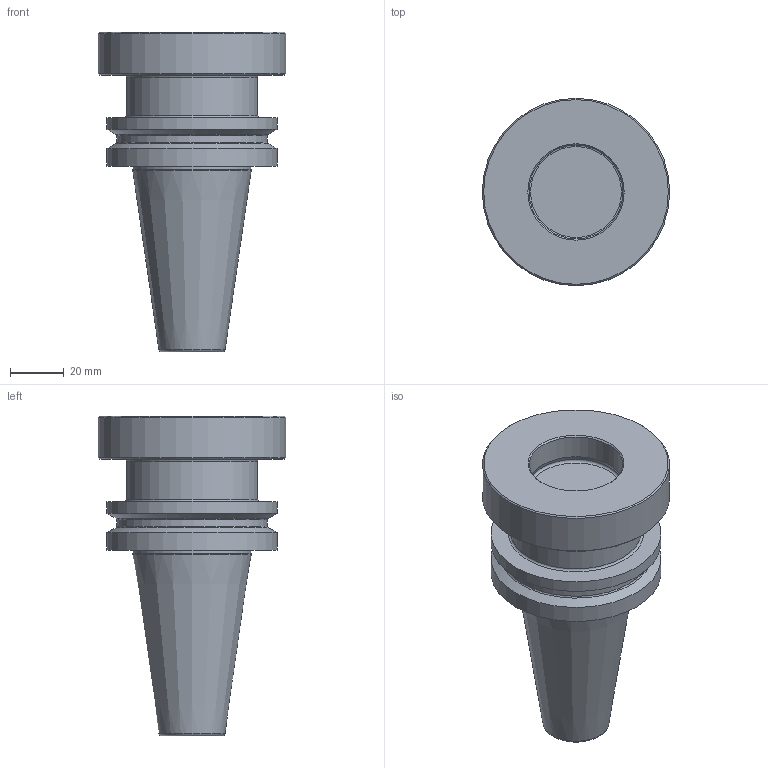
import cadquery as cq
import math


GAUGE_DIAMETER = 44.45
TAPER_PER_LENGTH = 7 / 24
SHANK_LENGTH = 68.4
SHANK_END_FILLET = 1.0

RELIEF_DIAMETER = 43.8
LAND_TOP = -0.3
LAND_HEIGHT = 0.4

FLANGE_DIAMETER = 63.55
FLANGE_BOTTOM = 1.0
FLANGE_TOP = 19.1
GROOVE_CENTER = 11.1
GROOVE_FLOOR_DIAMETER = 56.25
GROOVE_FLOOR_WIDTH = 3.1
GROOVE_CORNER_FILLET = 0.7
GROOVE_FLANK_ANGLE = 30

NECK_DIAMETER = 49.0
NECK_FILLET = 0.8
HEAD_DIAMETER = 70.0
HEAD_TOP = 51.0
HEAD_THICKNESS = 16.0
HEAD_CHAMFER = 0.5

BORE_DIAMETER = 35.0
BORE_DEPTH = 12.0
BORE_MOUTH_CHAMFER = 0.5
BORE_FLOOR_DIAMETER = 34.0
UNDERCUT_RADIUS = 0.9
UNDERCUT_ANGLE = 15

HEAD_BOTTOM = HEAD_TOP - HEAD_THICKNESS


def revolve_profile(profile):
    """Turn a closed radius-height profile a full circle around the Z axis."""
    return profile.close().revolve(360, (0, 0, 0), (0, 1, 0))


def make_shank():
    """Taper with a rounded small end, a narrow land at its large end, and the relief above."""
    land_bottom = LAND_TOP - LAND_HEIGHT
    relief_radius = RELIEF_DIAMETER / 2

    def taper_radius(z):
        """Radius of the taper at height z."""
        return (GAUGE_DIAMETER + z * TAPER_PER_LENGTH) / 2

    shank = revolve_profile(
        cq.Workplane("XZ")
        .moveTo(0, -SHANK_LENGTH)
        .lineTo(taper_radius(-SHANK_LENGTH), -SHANK_LENGTH)
        .lineTo(taper_radius(land_bottom), land_bottom)
        .lineTo(taper_radius(land_bottom), LAND_TOP)
        .lineTo(relief_radius, LAND_TOP)
        .lineTo(relief_radius, FLANGE_BOTTOM)
        .lineTo(0, FLANGE_BOTTOM)
    )
    return shank.faces("<Z").edges().fillet(SHANK_END_FILLET)


def make_flange():
    """Disc with a V groove that has a cylindrical floor and rounded floor corners."""
    flange_radius = FLANGE_DIAMETER / 2
    floor_radius = GROOVE_FLOOR_DIAMETER / 2
    floor_half_width = GROOVE_FLOOR_WIDTH / 2
    flank_height = (flange_radius - floor_radius) * math.tan(math.radians(GROOVE_FLANK_ANGLE))
    mouth_half_width = floor_half_width + flank_height
    flange = revolve_profile(
        cq.Workplane("XZ")
        .moveTo(0, FLANGE_BOTTOM)
        .lineTo(flange_radius, FLANGE_BOTTOM)
        .lineTo(flange_radius, GROOVE_CENTER - mouth_half_width)
        .lineTo(floor_radius, GROOVE_CENTER - floor_half_width)
        .lineTo(floor_radius, GROOVE_CENTER + floor_half_width)
        .lineTo(flange_radius, GROOVE_CENTER + mouth_half_width)
        .lineTo(flange_radius, FLANGE_TOP)
        .lineTo(0, FLANGE_TOP)
    )
    floor_corners = flange.edges(cq.selectors.RadiusNthSelector(0))
    return floor_corners.fillet(GROOVE_CORNER_FILLET)


def make_neck():
    """Cylinder that flares with a concave fillet into the flange and into the head."""
    neck_radius = NECK_DIAMETER / 2
    flare_radius = neck_radius + NECK_FILLET
    return revolve_profile(
        cq.Workplane("XZ")
        .moveTo(0, FLANGE_TOP)
        .lineTo(flare_radius, FLANGE_TOP)
        .radiusArc((neck_radius, FLANGE_TOP + NECK_FILLET), NECK_FILLET)
        .lineTo(neck_radius, HEAD_BOTTOM - NECK_FILLET)
        .radiusArc((flare_radius, HEAD_BOTTOM), NECK_FILLET)
        .lineTo(0, HEAD_BOTTOM)
    )


def make_head():
    """Disc with both rims chamfered."""
    base = cq.Workplane("XY").workplane(offset=HEAD_BOTTOM)
    head = base.circle(HEAD_DIAMETER / 2).extrude(HEAD_THICKNESS)
    return head.edges("%CIRCLE").chamfer(HEAD_CHAMFER)


def make_bore():
    """Solid of the bore space: chamfered mouth, straight wall, conical undercut, rounded corner."""
    bore_radius = BORE_DIAMETER / 2
    floor_radius = BORE_FLOOR_DIAMETER / 2
    floor_z = HEAD_TOP - BORE_DEPTH
    corner_z = floor_z + UNDERCUT_RADIUS

    def corner_point(degrees):
        """Point of the corner arc, measured from the horizontal."""
        angle = math.radians(degrees)
        return (
            floor_radius + UNDERCUT_RADIUS * math.cos(angle),
            corner_z + UNDERCUT_RADIUS * math.sin(angle),
        )

    cone_radius, cone_z = corner_point(UNDERCUT_ANGLE)
    wall_z = cone_z + (cone_radius - bore_radius) / math.tan(math.radians(UNDERCUT_ANGLE))
    return revolve_profile(
        cq.Workplane("XZ")
        .moveTo(0, floor_z)
        .lineTo(floor_radius, floor_z)
        .threePointArc(corner_point(-45), (cone_radius, cone_z))
        .lineTo(bore_radius, wall_z)
        .lineTo(bore_radius, HEAD_TOP - BORE_MOUTH_CHAMFER)
        .lineTo(bore_radius + BORE_MOUTH_CHAMFER, HEAD_TOP)
        .lineTo(0, HEAD_TOP)
    )


result = make_shank().union(make_flange()).union(make_neck()).union(make_head()).cut(make_bore())